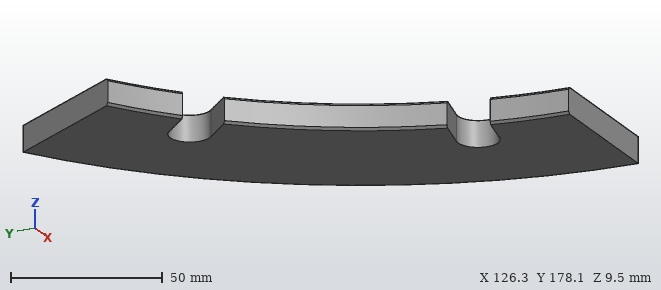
import cadquery as cq
import math

length_y = 178.1
sweep_angle = 57.6
inner_radius = 158.0
thickness = 9.5
bore_chamfer = 0.9
outer_radius = length_y / math.sin(math.radians(sweep_angle))

slot_width = 14.6
slot_center_radius = 171.7
slot_angles = (12.7, 44.9)


def polar(radius, angle):
    """Point at a radius and an angle in degrees from the X axis."""
    return (radius * math.cos(math.radians(angle)), radius * math.sin(math.radians(angle)))


def ring_segment():
    """Flat plate with chamfers on both edges of its concave face."""
    middle_angle = sweep_angle / 2
    plate = (
        cq.Workplane("XY")
        .moveTo(*polar(inner_radius, 0))
        .lineTo(*polar(outer_radius, 0))
        .threePointArc(polar(outer_radius, middle_angle), polar(outer_radius, sweep_angle))
        .lineTo(*polar(inner_radius, sweep_angle))
        .threePointArc(polar(inner_radius, middle_angle), polar(inner_radius, 0))
        .close()
        .extrude(thickness)
    )
    inner_edges = plate.edges("%CIRCLE").edges(cq.selectors.RadiusNthSelector(0))
    return inner_edges.chamfer(bore_chamfer)


def slot_cutter(angle):
    """Radial slot from the Z axis to its rounded end."""
    channel = (
        cq.Workplane("XY")
        .rect(slot_center_radius, slot_width)
        .extrude(thickness)
        .translate((slot_center_radius / 2, 0, 0))
    )
    round_end = (
        cq.Workplane("XY")
        .center(slot_center_radius, 0)
        .circle(slot_width / 2)
        .extrude(thickness)
    )
    return channel.union(round_end).rotate((0, 0, 0), (0, 0, 1), angle)


result = ring_segment()
for slot_angle in slot_angles:
    result = result.cut(slot_cutter(slot_angle))